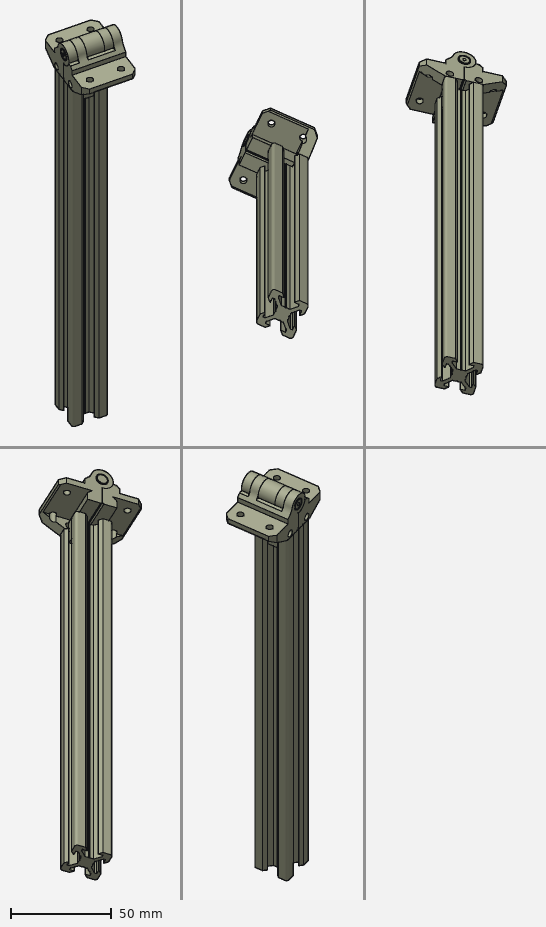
import cadquery as cq
import math


total_height = 248.6
hinge_width = 45.0
hinge_depth = 30.0

barrel_radius = 6.0
barrel_z = total_height - barrel_radius
short_knuckle = hinge_depth / 6
knuckle_lengths = [short_knuckle, short_knuckle, 2 * short_knuckle, short_knuckle, short_knuckle]
left_knuckles = [0, 3]
spacer_knuckle = 2
right_knuckles = [1, 4]
blend_angle = math.radians(74)

pin_radius = 3.2
pin_end_chamfer = 0.5
pin_centre_radius = 0.87
pin_centre_depth = 1.0

leaf_half_width = hinge_width / 2
leaf_bottom_z = total_height - 22.6
flange_top_z = total_height - 12.2
flange_edge_z = total_height - 15.5
slope_angle = math.radians(30)
slope_foot = leaf_half_width - (flange_edge_z - leaf_bottom_z) / math.tan(slope_angle)
shoulder_half_width = 9.5
shoulder_chamfer = 1.7
web_root_half_width = shoulder_half_width - shoulder_chamfer
web_root_z = total_height - 7.5
shoulder_z = web_root_z - shoulder_chamfer
shelf_rise = 0.2
leaf_gap = 0.2
seam_chamfer = 0.7
flange_corner = 3.0

front_wall = 6.0
pocket_roof_z = total_height - 16.0
block_half_width = 8.0
block_shoulder_z = total_height - 18.2
block_top_half_width = block_half_width - (pocket_roof_z - block_shoulder_z)

flange_hole_radius = 1.7
flange_hole_x = 16.5
flange_hole_spacing = 17.5
wall_hole_radius = 1.86
wall_hole_x = 7.5
wall_hole_z = total_height - 20.0

profile_side = hinge_depth * 2 / 3
profile_half = profile_side / 2
profile_corner_radius = 1.5
slot_mouth_half = 4.7
slot_lip_half = 3.0
slot_mouth_depth = slot_mouth_half - slot_lip_half
slot_lip_depth = 2.0
slot_cavity_half = 5.5
slot_floor_half = 2.35
slot_floor_depth = 6.2
slot_flank_depth = slot_floor_depth - (slot_cavity_half - slot_floor_half)
guide_groove_half = 0.37

tab_width = 2 * slot_lip_half
tab_thickness = 2.5
tab_length = 10.0


def prism(outline, start_y, length):
    """Extrude a closed XZ outline along +Y from start_y."""
    return outline.extrude(-length).translate((0, start_y, 0))


def barrel_cylinder(radius, start_y, length):
    outline = cq.Workplane("XZ").center(0, barrel_z).circle(radius)
    return prism(outline, start_y, length)


def knuckle_start(index):
    return sum(knuckle_lengths[:index])


def make_profile():
    """Square slotted extrusion standing under the hinge, flush with its front face."""
    bar = cq.Workplane("XY").rect(profile_side, profile_side).extrude(leaf_bottom_z)
    bar = bar.edges("|Z").fillet(profile_corner_radius)
    half_slot = [
        (slot_mouth_half, 0),
        (slot_lip_half, slot_mouth_depth),
        (slot_lip_half, slot_lip_depth),
        (slot_cavity_half, slot_lip_depth),
        (slot_cavity_half, slot_flank_depth),
        (slot_floor_half, slot_floor_depth),
        (guide_groove_half, slot_floor_depth),
    ]
    groove_tip = (0, slot_floor_depth + guide_groove_half)
    other_half = [(-x, depth) for x, depth in reversed(half_slot)]
    points = [(x, depth - profile_half) for x, depth in half_slot + [groove_tip] + other_half]
    slot = cq.Workplane("XY").polyline(points).close().extrude(leaf_bottom_z)
    for turn in range(4):
        bar = bar.cut(slot.rotate((0, 0, 0), (0, 0, 1), 90 * turn))
    return bar.translate((0, profile_half, 0))


def leaf_body(side):
    """Flange, shoulder and sloped underside of a leaf, running the whole hinge depth."""
    points = [
        (leaf_gap / 2, leaf_bottom_z + seam_chamfer),
        (leaf_gap / 2 + seam_chamfer, leaf_bottom_z),
        (slope_foot, leaf_bottom_z),
        (leaf_half_width, flange_edge_z),
        (leaf_half_width, flange_top_z),
        (shoulder_half_width, flange_top_z),
        (shoulder_half_width, shoulder_z),
        (web_root_half_width, web_root_z),
        (barrel_radius, web_root_z + shelf_rise),
        (leaf_gap / 2, web_root_z + shelf_rise),
    ]
    outline = cq.Workplane("XZ").polyline([(side * x, z) for x, z in points]).close()
    body = prism(outline, 0, hinge_depth)
    return body.edges("|Z").edges(">X" if side > 0 else "<X").chamfer(flange_corner)


def flange_pocket(side):
    """Space behind the front wall, below the flange and beside the central block."""
    points = [
        (block_half_width, leaf_bottom_z),
        (block_half_width, block_shoulder_z),
        (block_top_half_width, pocket_roof_z),
        (leaf_half_width, pocket_roof_z),
        (leaf_half_width, leaf_bottom_z),
    ]
    outline = cq.Workplane("XZ").polyline([(side * x, z) for x, z in points]).close()
    return prism(outline, front_wall, hinge_depth - front_wall)


def leaf_knuckle(side, index):
    """Barrel segment with the web that blends it into the shoulder of its leaf."""
    start_y = knuckle_start(index)
    length = knuckle_lengths[index]

    def on_barrel(angle):
        return (side * barrel_radius * math.sin(angle), barrel_z + barrel_radius * math.cos(angle))

    web = (
        cq.Workplane("XZ")
        .moveTo(*on_barrel(0))
        .threePointArc(on_barrel(blend_angle / 2), on_barrel(blend_angle))
        .tangentArcPoint((side * web_root_half_width, web_root_z), relative=False)
        .lineTo(*on_barrel(math.pi))
        .close()
    )
    return barrel_cylinder(barrel_radius, start_y, length).union(prism(web, start_y, length))


def make_leaf(side, knuckles):
    """Hinge leaf; side is -1 for the left leaf and +1 for the right leaf."""
    leaf = leaf_body(side).cut(flange_pocket(side))
    leaf = leaf.cut(barrel_cylinder(barrel_radius, 0, hinge_depth))
    for index in knuckles:
        leaf = leaf.union(leaf_knuckle(side, index))
    leaf = leaf.cut(barrel_cylinder(pin_radius, 0, hinge_depth))

    tab = cq.Workplane("XY").box(tab_thickness, tab_width, tab_length, centered=(True, True, False))
    tab_x = side * (block_half_width - tab_thickness / 2)
    leaf = leaf.union(tab.translate((tab_x, profile_half, leaf_bottom_z - tab_length)))

    flange_holes = (
        cq.Workplane("XY", origin=(side * flange_hole_x, hinge_depth / 2, leaf_bottom_z))
        .rarray(2.5, flange_hole_spacing, 1, 2)
        .circle(flange_hole_radius)
        .extrude(flange_top_z - leaf_bottom_z)
    )
    wall_hole = cq.Workplane("XZ").center(side * wall_hole_x, wall_hole_z).circle(wall_hole_radius)
    return leaf.cut(flange_holes).cut(prism(wall_hole, 0, front_wall))


def make_spacer():
    """Middle barrel segment, free on the pin between the knuckles of the two leaves."""
    start_y = knuckle_start(spacer_knuckle)
    length = knuckle_lengths[spacer_knuckle]
    ring = barrel_cylinder(barrel_radius, start_y, length)
    return ring.cut(barrel_cylinder(pin_radius, start_y, length))


def make_pin():
    """Hinge pin with chamfered ends and a conical centre in its front end."""
    pin = barrel_cylinder(pin_radius, 0, hinge_depth).edges("%CIRCLE").chamfer(pin_end_chamfer)
    centre = cq.Solid.makeCone(
        pin_centre_radius, 0, pin_centre_depth, pnt=cq.Vector(0, 0, barrel_z), dir=cq.Vector(0, 1, 0)
    )
    return pin.cut(cq.Workplane(centre))


profile = make_profile()
left_leaf = make_leaf(-1, left_knuckles)
right_leaf = make_leaf(1, right_knuckles)
spacer = make_spacer()
pin = make_pin()

result = cq.Compound.makeCompound(
    [profile.val(), left_leaf.val(), right_leaf.val(), spacer.val(), pin.val()]
)